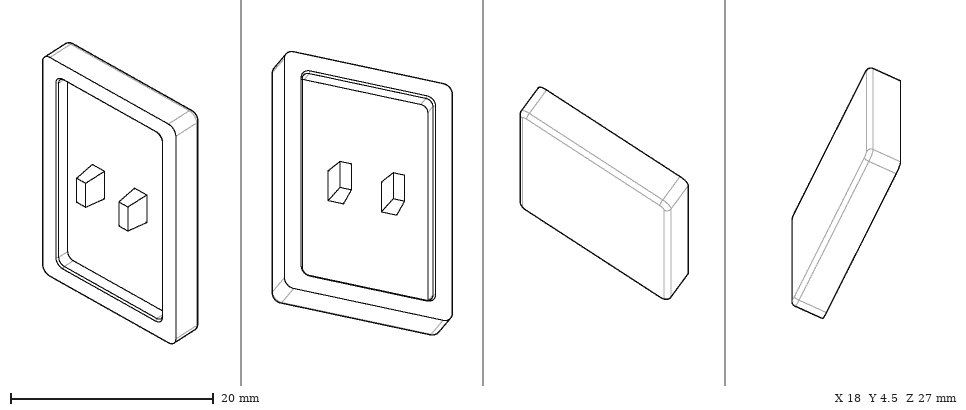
import cadquery as cq

plate_width = 18.0
plate_height = 27.0
plate_thickness = 3.5
corner_radius = 1.0
back_edge_radius = 0.5

recess_width = 14.0
recess_height = 23.0
recess_depth = 1.5
recess_corner_radius = 0.75
rim_chamfer = 0.2

post_base_width = 1.65
post_base_height = 3.4
post_spacing = 5.7
post_protrusion = 1.0
post_draft_angle = 5.0
post_length = recess_depth + post_protrusion


def make_plate():
    """Rounded plate with a filleted back edge."""
    plate = cq.Workplane("XY").box(
        plate_width, plate_thickness, plate_height, centered=(True, False, True)
    )
    plate = plate.edges("|Y").fillet(corner_radius)
    return plate.faces(">Y").edges().fillet(back_edge_radius)


def make_recess():
    """Straight-walled volume of the recess, with rounded corners."""
    pocket = cq.Workplane("XY").box(
        recess_width, recess_depth, recess_height, centered=(True, False, True)
    )
    return pocket.edges("|Y").fillet(recess_corner_radius)


def make_posts():
    """Pair of posts tapering from the recess floor to beyond the front face."""
    floor_plane = cq.Workplane("XZ", origin=(0, recess_depth, 0))
    return (
        floor_plane.pushPoints([(-post_spacing / 2, 0), (post_spacing / 2, 0)])
        .rect(post_base_width, post_base_height)
        .extrude(post_length, taper=post_draft_angle)
    )


def chamfer_rim(plate):
    """Chamfer the recess opening on the front face."""
    opening = plate.faces("<Y").wires(cq.selectors.AreaNthSelector(0))
    return opening.chamfer(rim_chamfer)


recessed_plate = chamfer_rim(make_plate().cut(make_recess()))
result = recessed_plate.union(make_posts())